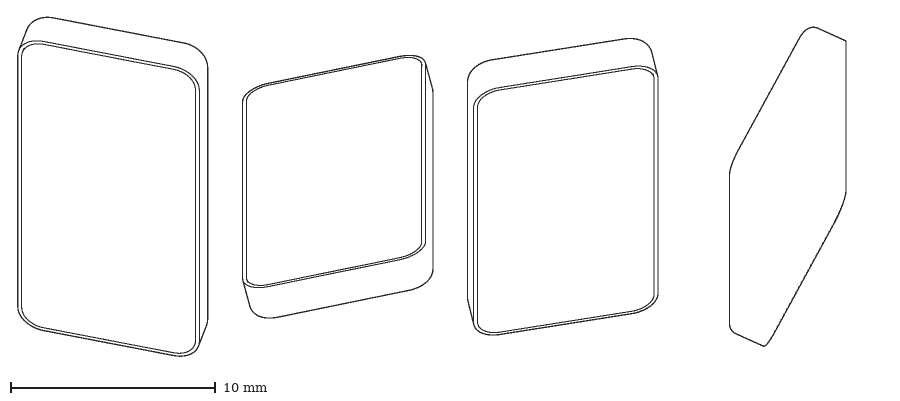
import cadquery as cq

width = 9.2
depth = 2.0
height = 19.9

wall = 0.2
corner_radius = 1.3
floor_fillet = 0.5


def rounded_block(inset, start_y):
    """Block inset from the outer sides, running from start_y to a rounded face at the inset floor."""
    end_y = depth / 2 - inset
    return (
        cq.Workplane("XZ", origin=(0, start_y, 0))
        .rect(width - 2 * inset, height - 2 * inset)
        .extrude(start_y - end_y)
        .edges("|Y")
        .fillet(corner_radius - inset)
        .faces(">Y")
        .edges()
        .fillet(floor_fillet - inset)
    )


open_face_y = -depth / 2
outer = rounded_block(0, open_face_y)
cavity = rounded_block(wall, open_face_y)

result = outer.cut(cavity)